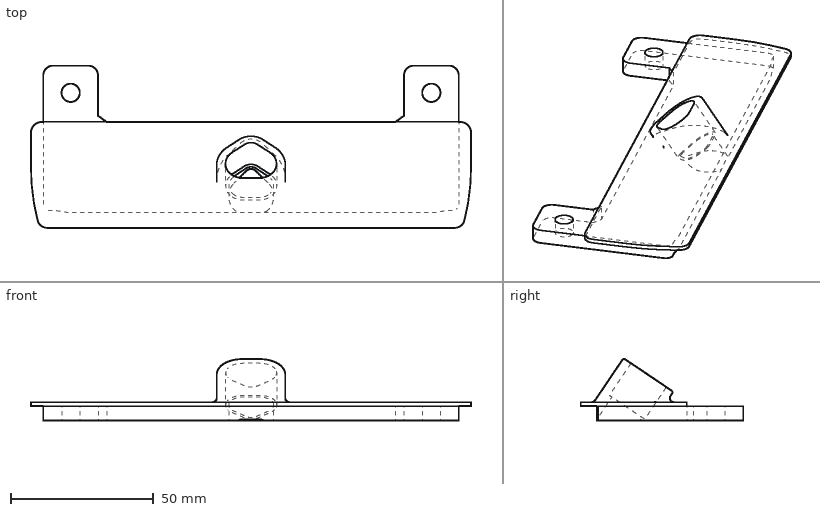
import cadquery as cq
import math

slab_height = 5.1
plate_thickness = 1.4
plate_top = slab_height + plate_thickness

plate_half_width = 77.0
plate_front_half_width = 73.9
plate_depth = 37.1
side_curve_start = 21.3
plate_back_radius = 3.8
plate_front_radius = 3.5

slab_half_width = 72.7
slab_front = 5.5
slab_corner_setback = 0.6
slab_corner_radius = 2.6
slab_step_outer = 68.2
slab_step_inner = 64.4
tab_back = 56.8
tab_inner = 53.5
tab_radius = 3.5
tab_flare_width = 3.0
tab_flare_depth = 2.2
tab_hole_diameter = 6.3
tab_hole_x = (slab_half_width + tab_inner) / 2
tab_hole_y = 47.3

tilt = 34.0
spout_top_y = 15.0
spout_top_z = 21.9
spout_length = 46.2
spout_flat_half_width = 3.0
spout_radius = 9.1
spout_tip_radius = 6.8
spout_roof_angle = 38.0
spout_wall = 3.1
lower_wall = 4.2
upper_bore_depth = 13.5
rim_fillet = 0.8
skirt_top = 8.6
skirt_fillet = 1.4


def make_plate():
    """Thin plate whose sides curve inward toward the front."""
    inset = plate_half_width - plate_front_half_width
    side_radius = (side_curve_start**2 + inset**2) / (2 * inset)
    middle_y = side_curve_start / 2
    middle_x = plate_half_width - side_radius + math.sqrt(
        side_radius**2 - (side_curve_start - middle_y) ** 2
    )
    plate = (
        cq.Workplane("XY", origin=(0, 0, slab_height))
        .moveTo(-plate_front_half_width, 0)
        .lineTo(plate_front_half_width, 0)
        .threePointArc((middle_x, middle_y), (plate_half_width, side_curve_start))
        .lineTo(plate_half_width, plate_depth)
        .lineTo(-plate_half_width, plate_depth)
        .lineTo(-plate_half_width, side_curve_start)
        .threePointArc((-middle_x, middle_y), (-plate_front_half_width, 0))
        .close()
        .extrude(plate_thickness)
    )
    plate = plate.edges("|Z and >Y").fillet(plate_back_radius)
    return plate.edges("|Z and <Y").fillet(plate_front_radius)


def make_slab():
    """Slab under the plate with a drilled tab at each end."""
    corner_y = slab_front + slab_corner_setback
    slab = (
        cq.Workplane("XY")
        .polyline(
            [
                (-slab_half_width, plate_depth),
                (-slab_half_width, corner_y),
                (-slab_step_outer, corner_y),
                (-slab_step_inner, slab_front),
                (slab_step_inner, slab_front),
                (slab_step_outer, corner_y),
                (slab_half_width, corner_y),
                (slab_half_width, plate_depth),
            ]
        )
        .close()
        .extrude(slab_height)
    )
    for side in (-1, 1):
        corner = cq.selectors.NearestToPointSelector((side * slab_half_width, corner_y, slab_height / 2))
        slab = slab.edges("|Z").edges(corner).fillet(slab_corner_radius)
    for side in (-1, 1):
        tab = (
            cq.Workplane("XY")
            .moveTo(side * slab_half_width, plate_depth)
            .lineTo(side * slab_half_width, tab_back)
            .lineTo(side * tab_inner, tab_back)
            .lineTo(side * tab_inner, plate_depth + tab_flare_depth)
            .lineTo(side * (tab_inner - tab_flare_width), plate_depth)
            .close()
            .extrude(slab_height)
            .edges("|Z and >Y")
            .fillet(tab_radius)
        )
        hole = (
            cq.Workplane("XY")
            .center(side * tab_hole_x, tab_hole_y)
            .circle(tab_hole_diameter / 2)
            .extrude(slab_height)
        )
        slab = slab.union(tab).cut(hole)
    return slab


def make_drop_prism(inset, length):
    """Tilted drop-shaped prism below the rim, its outline moved inward by inset."""
    radius = spout_radius - inset
    tip_radius = spout_tip_radius - inset
    roof = math.radians(spout_roof_angle)
    center_gap = spout_radius - spout_tip_radius
    tip_center = (spout_flat_half_width * math.sin(roof) + center_gap) / math.cos(roof)
    shoulder_x = spout_flat_half_width + radius * math.sin(roof)
    shoulder_y = radius * math.cos(roof)
    tip_x = tip_radius * math.sin(roof)
    tip_y = tip_center + tip_radius * math.cos(roof)
    sweep_middle = (math.pi - roof) / 2
    side_x = spout_flat_half_width + radius * math.sin(sweep_middle)
    side_y = -radius * math.cos(sweep_middle)
    angle = math.radians(tilt)
    axis = cq.Vector(0, math.sin(angle), math.cos(angle))
    down_slope = cq.Vector(0, math.cos(angle), -math.sin(angle))
    center = cq.Vector(0, spout_top_y, spout_top_z) + down_slope * spout_radius
    return (
        cq.Workplane(cq.Plane(center, xDir=(1, 0, 0), normal=axis))
        .moveTo(-spout_flat_half_width, -radius)
        .lineTo(spout_flat_half_width, -radius)
        .threePointArc((side_x, side_y), (shoulder_x, shoulder_y))
        .lineTo(tip_x, tip_y)
        .threePointArc((0, tip_center + tip_radius), (-tip_x, tip_y))
        .lineTo(-shoulder_x, shoulder_y)
        .threePointArc((-side_x, side_y), (-spout_flat_half_width, -radius))
        .close()
        .extrude(-length)
    )


def keep_above(body, height):
    """Remove everything of body below the given height."""
    size = 4 * spout_length
    lower = cq.Workplane("XY", origin=(0, 0, height - size)).rect(size, size).extrude(size)
    return body.cut(lower)


def make_spout():
    """Solid spout with an upright skirt under its overhanging back."""
    prism = make_drop_prism(0, spout_length)
    angle = math.radians(tilt)
    rim_side = cq.selectors.DirectionMinMaxSelector(cq.Vector(0, math.sin(angle), math.cos(angle)), True)
    prism = prism.faces(rim_side).edges().fillet(rim_fillet)
    section = keep_above(prism, skirt_top).faces("<Z").wires().val()
    skirt = cq.Solid.extrudeLinear(section, [], cq.Vector(0, 0, plate_top - skirt_top))
    return keep_above(prism, plate_top).union(cq.Workplane(skirt))


body = make_plate().union(make_spout())
tolerance = 0.02
edge_margin = 1.5
base_edges = cq.selectors.BoxSelector(
    (-slab_half_width / 2, edge_margin, plate_top - tolerance),
    (slab_half_width / 2, plate_depth - edge_margin, plate_top + tolerance),
)
body = body.edges(base_edges).fillet(skirt_fillet)
result = (
    body.union(make_slab())
    .cut(make_drop_prism(spout_wall, upper_bore_depth))
    .cut(make_drop_prism(lower_wall, spout_length))
)